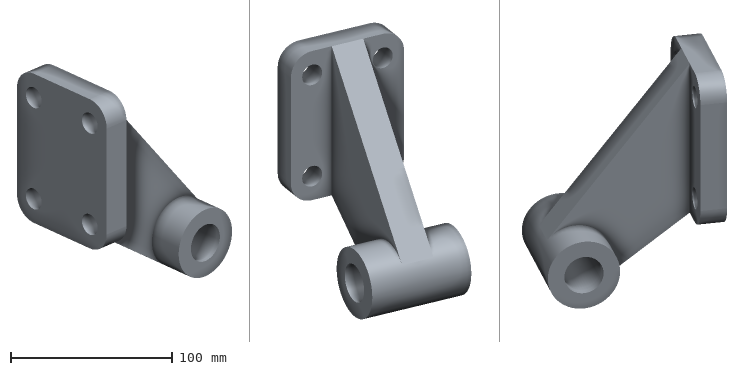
import cadquery as cq
import math

plate_width = 80.0
plate_height = 103.0
plate_thickness = 17.0
corner_radius = 15.0
bolt_hole_diameter = 14.0
bolt_spacing_x = 50.0
bolt_spacing_z = 70.0

overall_height = 149.5
overall_depth = 113.0
barrel_diameter = 46.0
barrel_length = 70.0
bore_diameter = 25.0

web_thickness = 22.3

barrel_radius = barrel_diameter / 2
barrel_y = overall_depth - barrel_radius
barrel_z = barrel_radius
plate_bottom = overall_height - plate_height
plate_center_z = overall_height - plate_height / 2


def tangent_point(y, z, side):
    """Point where a line from (y, z) touches the barrel; side +1 or -1 picks the tangent."""
    dy = y - barrel_y
    dz = z - barrel_z
    angle = math.atan2(dz, dy) + side * math.acos(barrel_radius / math.hypot(dy, dz))
    return (
        barrel_y + barrel_radius * math.cos(angle),
        barrel_z + barrel_radius * math.sin(angle),
    )


def make_plate():
    return (
        cq.Workplane("XZ", origin=(0, 0, plate_center_z))
        .rect(plate_width, plate_height)
        .extrude(-plate_thickness)
        .edges("|Y")
        .fillet(corner_radius)
        .faces("<Y")
        .workplane(centerOption="CenterOfBoundBox")
        .rect(bolt_spacing_x, bolt_spacing_z, forConstruction=True)
        .vertices()
        .hole(bolt_hole_diameter)
    )


def barrel_cylinder(diameter):
    return (
        cq.Workplane("YZ", origin=(0, barrel_y, barrel_z))
        .circle(diameter / 2)
        .extrude(barrel_length / 2, both=True)
    )


def make_web():
    """Web from the full height of the plate, with both edges tangent to the barrel."""
    top_corner = (plate_thickness, overall_height)
    bottom_corner = (plate_thickness, plate_bottom)
    return (
        cq.Workplane("YZ")
        .polyline([
            bottom_corner,
            top_corner,
            tangent_point(*top_corner, -1),
            (barrel_y, barrel_z),
            tangent_point(*bottom_corner, 1),
        ])
        .close()
        .extrude(web_thickness / 2, both=True)
    )


result = (
    make_plate()
    .union(make_web())
    .union(barrel_cylinder(barrel_diameter))
    .cut(barrel_cylinder(bore_diameter))
)